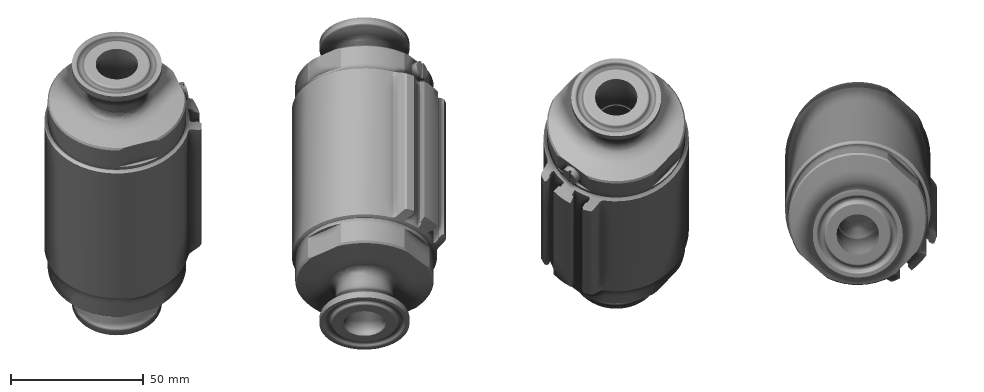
import cadquery as cq
import math

half_length = 130.0 / 2
overall_depth = 59.5

ferrule_radius = 34.0 / 2
neck_radius = 22.0 / 2
ferrule_bore_radius = 16.0 / 2
ferrule_cone_angle = 20.0
ferrule_cone_depth = 3.0
ferrule_neck_fillet = 2.0
ferrule_rim_fillet = 0.8

groove_mid_radius = 13.8
groove_round_radius = 1.2
groove_lip_radius = 0.9
groove_wall_angle = 70.0

cap_radius = 52.4 / 2
cap_flat_offset = 49.9 / 2
cap_flat_bottom = 36.1
cap_edge_bottom = 45.1
cap_edge_top = 45.9
cap_edge_radius = 25.6
cap_cone_rise = 1.8
cap_neck_fillet = 2.6
spigot_radius = 49.9 / 2
spigot_length = 7.8
flow_bore_radius = 15.0 / 2
flow_bore_top = cap_edge_top

sleeve_radius = 55.0 / 2
sleeve_bore_radius = 50.0 / 2
sleeve_half_length = 34.6
sleeve_end_radius = 26.4
sleeve_end_angle = 30.0

rail_crown = overall_depth - sleeve_radius
rail_corner_height = 31.7
rail_root_height = 26.6
rail_top_half_width = 4.2
rail_step_half_width = 3.6
rail_step_height = 29.2
rail_neck_half_width = 2.9
rail_root_half_width = 2.5
hook_root_inner = 8.6
hook_waist_inner = 9.4
hook_lip_inner = 8.8
hook_tip_inner = 9.5
hook_tip_outer = 12.2
hook_shoulder_outer = 12.7
hook_root_outer = 13.3
hook_root_height = 23.1
hook_floor_height = 25.7
hook_waist_bottom = 26.6
hook_waist_top = 27.8
hook_lip_bottom = 28.5
hook_lip_top = 30.0
hook_tip_height = 30.7
hook_slope_height = 29.5
hook_shoulder_height = 28.7
hook_base_fillet = 2.0

screw_head_radius = 7.0 / 2
screw_head_height = 2.5
screw_shank_radius = 5.0 / 2
screw_shank_length = 6.5
screw_slot_width = 1.2
screw_slot_depth = 0.9
screw_height = (cap_flat_bottom + cap_edge_top) / 2


def ring_profile(points):
    """Solid ring: a closed (radius, height) outline revolved about Z."""
    return cq.Workplane("XZ").polyline(points).close().revolve(360, (0, 0, 0), (0, 1, 0))


def edges_at(body, radius, height):
    """Circular edge of a revolved body picked by its radius and height."""
    reach = 0.06
    return body.edges(cq.selectors.BoxSelector(
        (-radius - reach, -radius - reach, height - reach),
        (radius + reach, radius + reach, height + reach),
        boundingbox=True,
    ))


def make_seal_groove():
    """Round ring groove with rounded lips, cut from the upper end face."""
    angle = math.radians(groove_wall_angle)
    half = angle / 2
    lip_drop = groove_lip_radius * (1 - math.cos(angle))
    depth = lip_drop + groove_round_radius * (1 - math.cos(angle))
    wall = groove_round_radius * math.sin(angle)
    mouth = wall + groove_lip_radius * math.sin(angle)
    lip_mid = mouth - groove_lip_radius * math.sin(half)
    lip_mid_drop = groove_lip_radius * (1 - math.cos(half))

    def at(offset, drop):
        return (groove_mid_radius + offset, half_length - drop)

    return (
        cq.Workplane("XZ")
        .moveTo(*at(-mouth, 0))
        .threePointArc(at(-lip_mid, lip_mid_drop), at(-wall, lip_drop))
        .threePointArc(at(0, depth), at(wall, lip_drop))
        .threePointArc(at(lip_mid, lip_mid_drop), at(mouth, 0))
        .close()
        .revolve(360, (0, 0, 0), (0, 1, 0))
    )


def make_plain_cap():
    """End cap with ferrule, neck, wrench flats and a spigot that enters the sleeve."""
    cone_edge = half_length - ferrule_cone_depth
    cone_drop = (ferrule_radius - neck_radius) * math.tan(math.radians(ferrule_cone_angle))
    cone_root = cone_edge - cone_drop
    neck_root = cap_edge_top + cap_cone_rise
    spigot_end = sleeve_half_length - spigot_length

    cap = ring_profile([
        (flow_bore_radius, spigot_end),
        (spigot_radius, spigot_end),
        (spigot_radius, sleeve_half_length),
        (cap_radius, sleeve_half_length),
        (cap_radius, cap_edge_bottom),
        (cap_edge_radius, cap_edge_top),
        (neck_radius, neck_root),
        (neck_radius, cone_root),
        (ferrule_radius, cone_edge),
        (ferrule_radius, half_length),
        (ferrule_bore_radius, half_length),
        (ferrule_bore_radius, flow_bore_top),
        (flow_bore_radius, flow_bore_top),
    ])
    cap = edges_at(cap, neck_radius, neck_root).fillet(cap_neck_fillet)
    cap = edges_at(cap, neck_radius, cone_root).fillet(ferrule_neck_fillet)
    cap = edges_at(cap, ferrule_radius, cone_edge).fillet(ferrule_rim_fillet)

    return cap.cut(make_seal_groove()).cut(make_flat_cutter())


def make_flat_cutter():
    """Material outside the flats on -X, +X and +Y."""
    height = cap_edge_top + cap_cone_rise - cap_flat_bottom
    size = 2 * cap_radius
    blank = cq.Workplane("XY").workplane(offset=cap_flat_bottom).rect(2 * size, 2 * size).extrude(height)
    kept = (
        cq.Workplane("XY")
        .workplane(offset=cap_flat_bottom)
        .center(0, (cap_flat_offset - size) / 2)
        .rect(2 * cap_flat_offset, cap_flat_offset + size)
        .extrude(height)
    )
    return blank.cut(kept)


def make_centre_rail(length):
    """T-shaped rail with a crowned top, on the +Y side."""
    return (
        cq.Workplane("XY")
        .moveTo(-rail_root_half_width, rail_root_height)
        .lineTo(-rail_neck_half_width, rail_step_height)
        .lineTo(-rail_step_half_width, rail_step_height)
        .lineTo(-rail_top_half_width, rail_corner_height)
        .threePointArc((0, rail_crown), (rail_top_half_width, rail_corner_height))
        .lineTo(rail_step_half_width, rail_step_height)
        .lineTo(rail_neck_half_width, rail_step_height)
        .lineTo(rail_root_half_width, rail_root_height)
        .close()
        .extrude(length / 2, both=True)
    )


def make_hook_rail(length):
    """Hooked rail on the +X side of the centre rail, its lip facing inwards."""
    return (
        cq.Workplane("XY")
        .polyline([
            (hook_root_inner, hook_floor_height),
            (hook_waist_inner, hook_waist_bottom),
            (hook_waist_inner, hook_waist_top),
            (hook_lip_inner, hook_lip_bottom),
            (hook_lip_inner, hook_lip_top),
            (hook_tip_inner, hook_tip_height),
            (hook_tip_outer, hook_slope_height),
            (hook_shoulder_outer, hook_shoulder_height),
            (hook_root_outer, hook_root_height),
        ])
        .close()
        .extrude(length / 2, both=True)
    )


def make_sleeve():
    """Tube with three rails, both ends of tube and rails bevelled by one shallow cone."""
    length = 2 * sleeve_half_length
    hook = make_hook_rail(length)
    sleeve = cq.Workplane("XY").circle(sleeve_radius).extrude(length / 2, both=True)
    sleeve = sleeve.union(hook).union(hook.mirror("YZ"))

    foot_edges = cq.selectors.BoxSelector(
        (-sleeve_radius, hook_root_height, -length),
        (sleeve_radius, hook_floor_height, length),
    )
    sleeve = sleeve.edges("|Z").edges(foot_edges).fillet(hook_base_fillet)
    sleeve = sleeve.union(make_centre_rail(length))

    outer = 2 * sleeve_radius
    drop = (outer - sleeve_end_radius) * math.tan(math.radians(sleeve_end_angle))
    envelope = ring_profile([
        (sleeve_bore_radius, -sleeve_half_length),
        (sleeve_end_radius, -sleeve_half_length),
        (outer, -sleeve_half_length + drop),
        (outer, sleeve_half_length - drop),
        (sleeve_end_radius, sleeve_half_length),
        (sleeve_bore_radius, sleeve_half_length),
    ])
    return sleeve.intersect(envelope)


def y_cylinder(radius, start, end):
    """Cylinder along Y on the screw axis."""
    return cq.Workplane(cq.Solid.makeCylinder(
        radius, end - start, cq.Vector(0, start, screw_height), cq.Vector(0, 1, 0)
    ))


def make_screw_shank():
    """Shank of the screw, also the cutter for its hole in the upper cap."""
    return y_cylinder(screw_shank_radius, cap_flat_offset - screw_shank_length, cap_flat_offset)


def make_screw():
    """Cylindrical head on the flat, with a vertical slot, and a shank in the cap."""
    head_top = cap_flat_offset + screw_head_height
    head = y_cylinder(screw_head_radius, cap_flat_offset, head_top)
    slot = cq.Workplane("XY").box(
        screw_slot_width, 2 * screw_slot_depth, 2 * screw_head_radius
    ).translate((0, head_top, screw_height))
    return head.union(make_screw_shank()).cut(slot)


plain_cap = make_plain_cap()
upper_cap = plain_cap.cut(make_screw_shank())
lower_cap = plain_cap.mirror("XY")
sleeve = make_sleeve()
screw = make_screw()

result = cq.Compound.makeCompound([upper_cap.val(), lower_cap.val(), sleeve.val(), screw.val()])